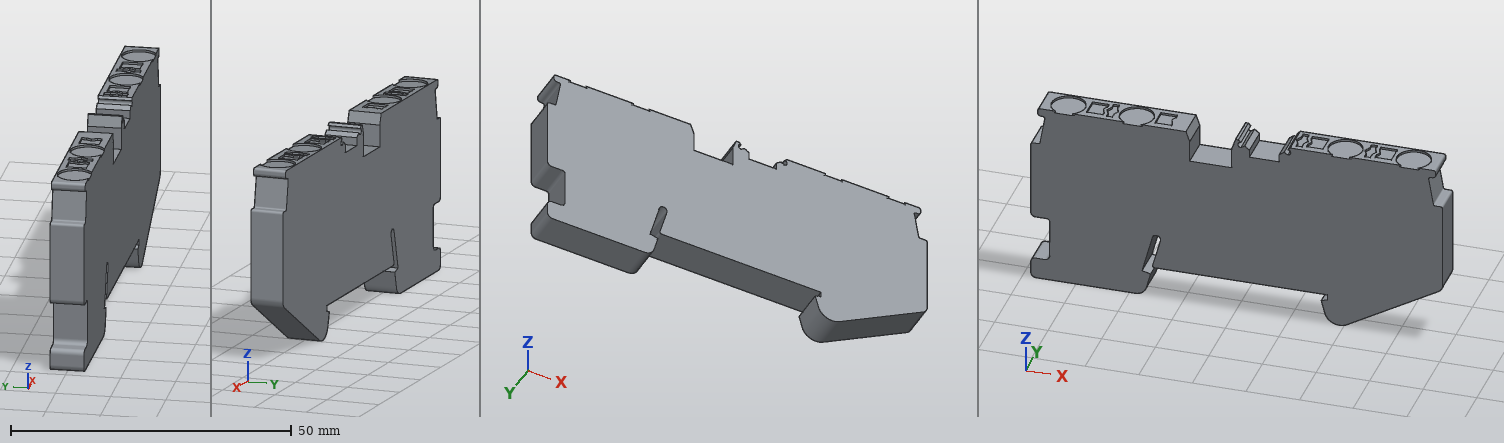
import cadquery as cq
import math

LENGTH = 76.9
THICKNESS = 6.15
HEIGHT = 35.2
HALF = LENGTH / 2

SHOULDER_Z = 27.9
NECK_FOOT_X = HALF - 1.7
NECK_TOP_X = HALF - 2.7
FLANGE_X = HALF - 1.3
FLANGE_THICKNESS = 1.5
FLANGE_TOP_RADIUS = 0.45
FLANGE_BOTTOM_RADIUS = 0.6
NECK_TOP_RADIUS = 0.4
NECK_FOOT_RADIUS = 0.3
SHOULDER_RADIUS = 0.45

LEFT_RECESS_DEPTH = 3.5
LEFT_RECESS_BOTTOM = 4.1
LEFT_RECESS_TOP = 12.6
LEFT_RADIUS = 0.9
LEFT_BOTTOM_RADIUS = 1.1
LEFT_RECESS_TOP_RADIUS = 0.5

RAIL_Z = 5.9
RAIL_RIGHT_X = 16.9
LIP_ROOT_Z = 4.9
LIP_TIP_Z = 4.5
LIP_LENGTH = 1.15

LEAN = math.radians(15)
SLOT_WIDTH = 1.5
SLOT_END_X = -15.0
SLOT_END_Z = 11.9
SLOT_MOUTH_RADIUS = 0.4
FOOT_TIP_X = -16.1
FOOT_RADIUS = 2.1

HOOK_TIP_X = RAIL_RIGHT_X - LIP_LENGTH
HOOK_RADIUS = 2.85
RAMP_ANGLE = math.radians(30)
RAMP_CORNER_RADIUS = 1.7

NOTCH_LEFT = -8.8
NOTCH_RIGHT = -0.9
NOTCH_FLOOR = 29.2
NOTCH_FLARE = 0.7
NOTCH_FLARE_Z = 33.2

WINDOW_CENTER = 5.15
WINDOW_HALF_WIDTH = 2.8
WINDOW_FLOOR = 32.0
WINDOW_RIM_Z = 33.45
BARB_OFFSET = 3.7
BARB_Z = 34.15
GROOVE_OFFSET = 4.4
GROOVE_Z = 34.2
GROOVE_RADIUS = 0.5

RECESS_DEPTH = 0.4
PITCH = 12.8
OUTER_HOLE_X = 32.2
HOLE_RADIUS = 3.15
HOLE_Y = -0.345
POCKET_Y = 0.115
POCKET_FROM_HOLE = 5.3
POCKET_LENGTH = 3.1
POCKET_WIDTH = 3.7
POCKET_NOTCH_DEPTH = 0.45
POCKET_NOTCH_HALF = 1.0
KEY_FROM_HOLE = 8.15
KEY_HALF_LENGTH = 2.15
KEY_HALF_WIDTH = 0.5
KEY_POINT = 1.1
KEY_POINT_HALF = 1.1


def window_side(side):
    """Points of one window wall (side -1 left, +1 right), listed from floor to top."""
    def at(offset):
        return WINDOW_CENTER + side * offset

    return {
        "floor": (at(WINDOW_HALF_WIDTH), WINDOW_FLOOR),
        "rim": (at(WINDOW_HALF_WIDTH), WINDOW_RIM_Z),
        "barb": (at(BARB_OFFSET), BARB_Z),
        "groove_bottom": (at(GROOVE_OFFSET), GROOVE_Z - GROOVE_RADIUS),
        "groove_wall": (at(GROOVE_OFFSET + GROOVE_RADIUS), GROOVE_Z),
        "groove_top": (at(GROOVE_OFFSET), GROOVE_Z + GROOVE_RADIUS),
        "top": (at(GROOVE_OFFSET + HEIGHT - GROOVE_Z - GROOVE_RADIUS), HEIGHT),
    }


def end_steps(side):
    """Shoulder, neck and flange of one end (side -1 left, +1 right), from shoulder to top."""
    flange_bottom = HEIGHT - FLANGE_THICKNESS
    return [
        (side * HALF, SHOULDER_Z),
        (side * NECK_FOOT_X, SHOULDER_Z),
        (side * NECK_TOP_X, flange_bottom),
        (side * FLANGE_X, flange_bottom),
        (side * FLANGE_X, HEIGHT),
    ]


def hook_points():
    """Ends and middle of the hook's round, which touches the leaning face, Z = 0 and the ramp."""
    center_x = HOOK_TIP_X + (HOOK_RADIUS + (LIP_TIP_Z - HOOK_RADIUS) * math.sin(LEAN)) / math.cos(LEAN)
    face_end = (center_x - HOOK_RADIUS * math.cos(LEAN), HOOK_RADIUS * (1 - math.sin(LEAN)))
    ramp_start = (
        center_x + HOOK_RADIUS * math.sin(RAMP_ANGLE),
        HOOK_RADIUS * (1 - math.cos(RAMP_ANGLE)),
    )
    return ramp_start, (center_x, 0), face_end


def slot_point(along, across):
    """Point measured down the leaning slot from its round end, and across it."""
    return (
        SLOT_END_X - along * math.sin(LEAN) + across * math.cos(LEAN),
        SLOT_END_Z - along * math.cos(LEAN) - across * math.sin(LEAN),
    )


def slot_side_at(z, across):
    """Point on a slot side at height z."""
    along = (SLOT_END_Z - z - across * math.sin(LEAN)) / math.cos(LEAN)
    return slot_point(along, across)


def make_body():
    left = window_side(-1)
    right = window_side(1)
    slot_half = SLOT_WIDTH / 2
    ramp_start, hook_bottom, hook_face_end = hook_points()
    ramp_corner = (HALF, ramp_start[1] + (HALF - ramp_start[0]) * math.tan(RAMP_ANGLE))
    slot_mouth = slot_side_at(RAIL_Z, slot_half)
    foot_corner = (FOOT_TIP_X - LIP_TIP_Z * math.tan(LEAN), 0)
    recess_x = -HALF + LEFT_RECESS_DEPTH

    outline = cq.Workplane("XZ").moveTo(-HALF, 0)
    for point in [
        (-HALF, LEFT_RECESS_BOTTOM),
        (recess_x, LEFT_RECESS_BOTTOM),
        (recess_x, LEFT_RECESS_TOP),
        (-HALF, LEFT_RECESS_TOP),
    ] + end_steps(-1):
        outline = outline.lineTo(*point)
    for point in [
        (NOTCH_LEFT - NOTCH_FLARE, HEIGHT),
        (NOTCH_LEFT, NOTCH_FLARE_Z),
        (NOTCH_LEFT, NOTCH_FLOOR),
        (NOTCH_RIGHT, NOTCH_FLOOR),
        (NOTCH_RIGHT, NOTCH_FLARE_Z),
        (NOTCH_RIGHT + NOTCH_FLARE, HEIGHT),
    ]:
        outline = outline.lineTo(*point)
    outline = (
        outline.lineTo(*left["top"])
        .lineTo(*left["groove_top"])
        .threePointArc(left["groove_wall"], left["groove_bottom"])
        .lineTo(*left["barb"])
        .lineTo(*left["rim"])
        .lineTo(*left["floor"])
        .lineTo(*right["floor"])
        .lineTo(*right["rim"])
        .lineTo(*right["barb"])
        .lineTo(*right["groove_bottom"])
        .threePointArc(right["groove_wall"], right["groove_top"])
        .lineTo(*right["top"])
    )
    for point in reversed(end_steps(1)):
        outline = outline.lineTo(*point)
    outline = (
        outline.lineTo(*ramp_corner)
        .lineTo(*ramp_start)
        .threePointArc(hook_bottom, hook_face_end)
        .lineTo(HOOK_TIP_X, LIP_TIP_Z)
        .lineTo(RAIL_RIGHT_X, LIP_ROOT_Z)
        .lineTo(RAIL_RIGHT_X, RAIL_Z)
        .lineTo(*slot_mouth)
        .lineTo(*slot_point(0, slot_half))
        .threePointArc(slot_point(-slot_half, 0), slot_point(0, -slot_half))
        .lineTo(*slot_side_at(LIP_ROOT_Z, -slot_half))
        .lineTo(FOOT_TIP_X, LIP_TIP_Z)
        .lineTo(*foot_corner)
        .close()
    )
    body = outline.extrude(THICKNESS / 2, both=True)

    rounded_corners = [
        (ramp_corner, RAMP_CORNER_RADIUS),
        (slot_mouth, SLOT_MOUTH_RADIUS),
        (foot_corner, FOOT_RADIUS),
        ((-HALF, 0), LEFT_BOTTOM_RADIUS),
        ((-HALF, LEFT_RECESS_BOTTOM), LEFT_RADIUS),
        ((recess_x, LEFT_RECESS_BOTTOM), LEFT_RADIUS),
        ((recess_x, LEFT_RECESS_TOP), LEFT_RECESS_TOP_RADIUS),
        ((-HALF, LEFT_RECESS_TOP), LEFT_RADIUS),
    ]
    end_radii = [
        SHOULDER_RADIUS,
        NECK_FOOT_RADIUS,
        NECK_TOP_RADIUS,
        FLANGE_BOTTOM_RADIUS,
        FLANGE_TOP_RADIUS,
    ]
    for side in (-1, 1):
        rounded_corners += zip(end_steps(side), end_radii)
    for (x, z), radius in rounded_corners:
        corner_edge = cq.selectors.NearestToPointSelector((x, 0, z))
        body = body.edges("|Y").edges(corner_edge).fillet(radius)
    return body


def top_plane():
    return cq.Workplane("XY", origin=(0, 0, HEIGHT))


def make_hole(x):
    return top_plane().center(x, HOLE_Y).circle(HOLE_RADIUS).extrude(-RECESS_DEPTH)


def make_pocket(x, inward):
    """Rectangular recess at x with a V bulge biting into the side that faces inward."""
    edge = inward * POCKET_LENGTH / 2
    half = POCKET_WIDTH / 2
    points = [
        (-edge, -half),
        (edge, -half),
        (edge, -POCKET_NOTCH_HALF),
        (edge - inward * POCKET_NOTCH_DEPTH, 0),
        (edge, POCKET_NOTCH_HALF),
        (edge, half),
        (-edge, half),
    ]
    return top_plane().center(x, POCKET_Y).polyline(points).close().extrude(-RECESS_DEPTH)


def make_key(x):
    """Narrow recess at x that widens to a point on both sides."""
    bar = top_plane().center(x, POCKET_Y).rect(2 * KEY_HALF_WIDTH, 2 * KEY_HALF_LENGTH)
    points = [
        (-KEY_HALF_WIDTH, -KEY_POINT_HALF),
        (KEY_HALF_WIDTH, -KEY_POINT_HALF),
        (KEY_POINT, 0),
        (KEY_HALF_WIDTH, KEY_POINT_HALF),
        (-KEY_HALF_WIDTH, KEY_POINT_HALF),
        (-KEY_POINT, 0),
    ]
    diamond = top_plane().center(x, POCKET_Y).polyline(points).close()
    return bar.extrude(-RECESS_DEPTH).union(diamond.extrude(-RECESS_DEPTH))


result = make_body()
for side in (-1, 1):
    for hole_distance in (OUTER_HOLE_X, OUTER_HOLE_X - PITCH):
        cutters = [
            make_hole(side * hole_distance),
            make_pocket(side * (hole_distance - POCKET_FROM_HOLE), -side),
        ]
        if side > 0 or hole_distance == OUTER_HOLE_X:
            cutters.append(make_key(side * (hole_distance - KEY_FROM_HOLE)))
        for cutter in cutters:
            result = result.cut(cutter)